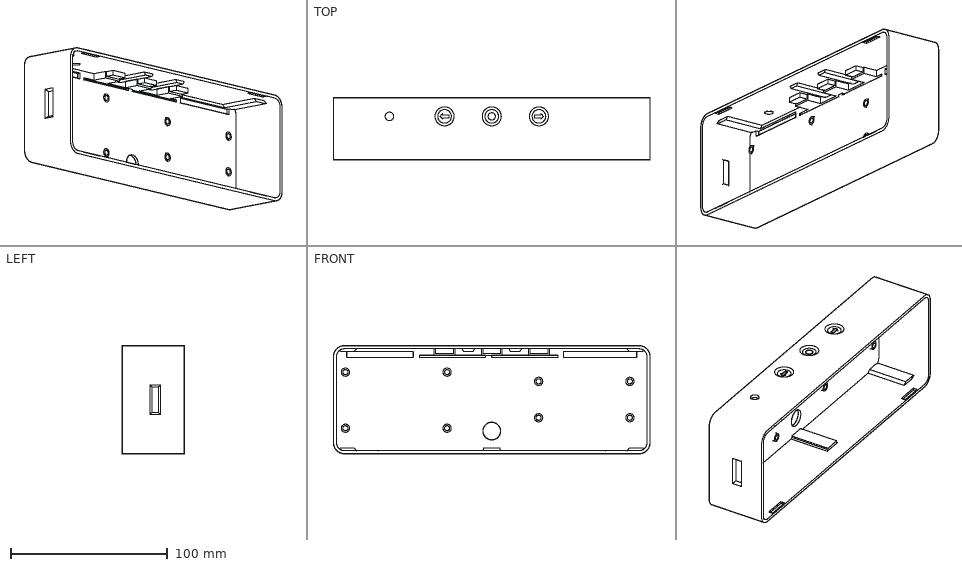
import cadquery as cq
import math

LENGTH = 202.0
DEPTH = 39.5
HEIGHT = 69.0
CORNER_RADIUS = 7.0
WALL = 2.0

INNER_RADIUS = CORNER_RADIUS - WALL
INNER_SIDE = LENGTH / 2 - WALL
INNER_BACK = DEPTH / 2 - WALL
CEILING = HEIGHT / 2 - WALL
FLOOR = -CEILING

RIB_LENGTH = 27.3
RIB_HEIGHT = 1.8
RIB_ROOT_OVERLAP = 1.0
CORNER_RIB_BASE_X = 86.0
CORNER_RIB_EDGE_X = 94.5
MIDDLE_RIB_X = 15.0
MIDDLE_RIB_BASE = 8.0
MIDDLE_RIB_TOP = 6.0
FLOOR_PAD_WIDTH = 10.5
FLOOR_PAD_FLARE = 0.8

GROOVE_X = 79.4
GROOVE_LENGTH = 14.1
GROOVE_WIDTH = 2.8
GROOVE_DEPTH = 0.8
GROOVE_INSET = 0.8
GROOVE_TAPER = 30

SLOT_BOTTOM = 27.0
TALL_SLOT_TOP = CEILING - RIB_HEIGHT
LOW_SLOT_TOP = 28.3
TALL_SLOTS = [(-92.3, -50.0), (45.9, 92.3)]
LOW_SLOTS = [(-46.0, -4.0), (0.0, 42.2)]
CABLE_HOLE_DIAMETER = 11.1
CABLE_HOLE_Z = -20.0

POST_DIAMETER = 5.3
POST_HEIGHT = 3.2
FOOT_RADIUS = 2.5
SCREW_HOLE_DIAMETER = 3.2
LEFT_STANDOFFS = [(x, z) for x in (-93.3, -28.5) for z in (17.5, -18.2)]
RIGHT_STANDOFFS = [(x, z) for x in (29.9, 88.0) for z in (11.7, -11.5)]

BUTTON_PITCH = 30.0
BUTTON_Y = 7.9
DISH_TOP_DIAMETER = 12.1
DISH_BOTTOM_DIAMETER = 8.7
DISH_DEPTH = 1.0
BUTTON_BLOCK_SIZE = 11.3
BUTTON_BLOCK_DROP = 3.0
BUTTON_SHELF_WIDTH = 13.3
SENSOR_X = -65.2
SENSOR_DIAMETER = 5.5

MARK_DEPTH = 0.5
DISC_DIAMETER = 4.6
ARROW_LENGTH = 5.7
ARROW_HEAD_LENGTH = 1.6
ARROW_HEAD_WIDTH = 3.6
ARROW_SHAFT_WIDTH = 1.8

PORT_Y = -1.2
PORT_OUTER = (6.9, 19.0)
PORT_INNER = (4.0, 16.2)


def box(x_range, y_range, z_range):
    """Axis-aligned box between the given limits."""
    sizes = [high - low for low, high in (x_range, y_range, z_range)]
    corner = (x_range[0], y_range[0], z_range[0])
    return cq.Workplane("XY").box(*sizes, centered=False).translate(corner)


def floor_rib(outline):
    """Rib on the floor with the given (X, Z) outline, running forward from the back wall."""
    return cq.Workplane("XZ", origin=(0, INNER_BACK, 0)).polyline(outline).close().extrude(RIB_LENGTH)


def shell():
    outer = cq.Workplane("XY").box(LENGTH, DEPTH, HEIGHT).edges("|Y").fillet(CORNER_RADIUS)
    cavity = (
        cq.Workplane("XY")
        .box(2 * INNER_SIDE, DEPTH, 2 * CEILING)
        .edges("|Y")
        .fillet(INNER_RADIUS)
        .translate((0, -WALL, 0))
    )
    return outer.cut(cavity)


def corner_rib():
    """Rib in the lower right corner, ending halfway round the rounded inside corner."""
    corner_gap = INNER_RADIUS * (1 - math.sqrt(0.5))
    root = FLOOR - RIB_ROOT_OVERLAP
    return floor_rib(
        [
            (CORNER_RIB_BASE_X, root),
            (CORNER_RIB_BASE_X, FLOOR),
            (CORNER_RIB_BASE_X + RIB_HEIGHT, FLOOR + RIB_HEIGHT),
            (CORNER_RIB_EDGE_X, FLOOR + RIB_HEIGHT),
            (INNER_SIDE - corner_gap, FLOOR + corner_gap),
            (LENGTH / 2 - CORNER_RADIUS, root),
        ]
    )


def middle_rib():
    """Trapezoidal rib; made on the floor and mirrored to the ceiling where it is used."""
    root = FLOOR - RIB_ROOT_OVERLAP
    base = MIDDLE_RIB_BASE / 2
    top = MIDDLE_RIB_TOP / 2
    return floor_rib(
        [
            (-base, root),
            (-base, FLOOR),
            (-top, FLOOR + RIB_HEIGHT),
            (top, FLOOR + RIB_HEIGHT),
            (base, FLOOR),
            (base, root),
        ]
    )


def floor_pad():
    """Wide straight-sided rib at the middle of the floor, flared where it meets the floor."""
    root = FLOOR - RIB_ROOT_OVERLAP
    half = FLOOR_PAD_WIDTH / 2
    foot = half + FLOOR_PAD_FLARE
    return floor_rib(
        [
            (-foot, root),
            (-foot, FLOOR),
            (-half, FLOOR + FLOOR_PAD_FLARE),
            (-half, FLOOR + RIB_HEIGHT),
            (half, FLOOR + RIB_HEIGHT),
            (half, FLOOR + FLOOR_PAD_FLARE),
            (foot, FLOOR),
            (foot, root),
        ]
    )


def snap_groove():
    """Cutter for the tapered groove in the right part of the floor."""
    y = -DEPTH / 2 + GROOVE_INSET + GROOVE_WIDTH / 2
    return (
        cq.Workplane("XY", origin=(GROOVE_X, y, FLOOR))
        .rect(GROOVE_LENGTH, GROOVE_WIDTH)
        .extrude(-GROOVE_DEPTH, taper=GROOVE_TAPER)
    )


def standoff(x, z):
    hole = SCREW_HOLE_DIAMETER / 2
    post = POST_DIAMETER / 2
    arc_reach = FOOT_RADIUS * (1 - math.sqrt(0.5))
    return (
        cq.Workplane("XY")
        .moveTo(hole, 0)
        .lineTo(post + FOOT_RADIUS, 0)
        .threePointArc((post + arc_reach, -arc_reach), (post, -FOOT_RADIUS))
        .lineTo(post, -POST_HEIGHT)
        .lineTo(hole, -POST_HEIGHT)
        .close()
        .revolve(360, (0, 0, 0), (0, 1, 0))
        .translate((x, INNER_BACK, z))
    )


def button_support(x):
    """Block under a button and the wider shelf joining it to the back wall."""
    block = BUTTON_BLOCK_SIZE / 2
    shelf = BUTTON_SHELF_WIDTH / 2
    return box(
        (x - block, x + block),
        (BUTTON_Y - block, BUTTON_Y + block),
        (CEILING - BUTTON_BLOCK_DROP, CEILING),
    ).union(box((x - shelf, x + shelf), (BUTTON_Y, INNER_BACK), (LOW_SLOT_TOP, CEILING)))


def button_dish(x):
    return (
        cq.Workplane("XY", origin=(x, BUTTON_Y, HEIGHT / 2))
        .circle(DISH_TOP_DIAMETER / 2)
        .workplane(offset=-DISH_DEPTH)
        .circle(DISH_BOTTOM_DIAMETER / 2)
        .loft()
    )


def mark_plane(x):
    return cq.Workplane("XY", origin=(x, BUTTON_Y, HEIGHT / 2 - DISH_DEPTH))


def arrow_mark(x, direction):
    """Arrow cutter pointing to +X (direction=1) or -X (direction=-1)."""
    tip = direction * ARROW_LENGTH / 2
    neck = tip - direction * ARROW_HEAD_LENGTH
    shaft = ARROW_SHAFT_WIDTH / 2
    barb = ARROW_HEAD_WIDTH / 2
    outline = [
        (-tip, -shaft),
        (neck, -shaft),
        (neck, -barb),
        (tip, 0),
        (neck, barb),
        (neck, shaft),
        (-tip, shaft),
    ]
    return mark_plane(x).polyline(outline).close().extrude(-MARK_DEPTH)


def disc_mark(x):
    return mark_plane(x).circle(DISC_DIAMETER / 2).extrude(-MARK_DEPTH)


result = shell()

right_rib = corner_rib()
right_groove = snap_groove()
for rib, groove in (
    (right_rib, right_groove),
    (right_rib.mirror("YZ"), right_groove.mirror("YZ")),
):
    result = result.union(rib).union(rib.mirror("XY"))
    result = result.cut(groove).cut(groove.mirror("XY"))

ceiling_rib = middle_rib().mirror("XY")
for x in (-MIDDLE_RIB_X, MIDDLE_RIB_X):
    result = result.union(ceiling_rib.translate((x, 0, 0)))
result = result.union(floor_pad())

for x, z in LEFT_STANDOFFS + RIGHT_STANDOFFS:
    result = result.union(standoff(x, z))

for x in (-BUTTON_PITCH, 0, BUTTON_PITCH):
    result = result.union(button_support(x)).cut(button_dish(x))
result = result.cut(arrow_mark(-BUTTON_PITCH, -1))
result = result.cut(disc_mark(0))
result = result.cut(arrow_mark(BUTTON_PITCH, 1))

sensor_hole = (
    cq.Workplane("XY", origin=(SENSOR_X, BUTTON_Y, CEILING))
    .circle(SENSOR_DIAMETER / 2)
    .extrude(WALL)
)
result = result.cut(sensor_hole)

for slots, top in ((TALL_SLOTS, TALL_SLOT_TOP), (LOW_SLOTS, LOW_SLOT_TOP)):
    for ends in slots:
        result = result.cut(box(ends, (INNER_BACK, DEPTH / 2), (SLOT_BOTTOM, top)))
cable_hole = (
    cq.Workplane("XZ", origin=(0, DEPTH / 2, CABLE_HOLE_Z))
    .circle(CABLE_HOLE_DIAMETER / 2)
    .extrude(WALL)
)
result = result.cut(cable_hole)

port = (
    cq.Workplane("YZ", origin=(-LENGTH / 2, PORT_Y, 0))
    .rect(*PORT_OUTER)
    .workplane(offset=WALL)
    .rect(*PORT_INNER)
    .loft()
)
result = result.cut(port)